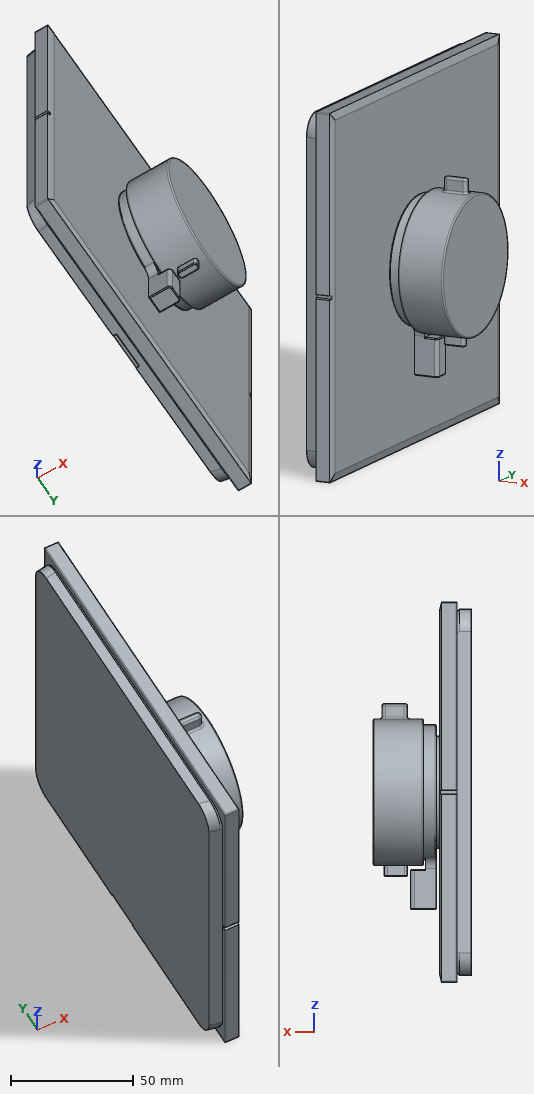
import cadquery as cq
import math

frame_size = 155.2
total_depth = 40.0

panel_height = 149.5
panel_front_width = 148.7
panel_back_width = 150.9
panel_depth = 5.7
panel_corner_radius = 9.0
undercut_depth = 1.0
undercut_height = 0.8
finger_notch_width = 17.4
finger_notch_depth = 1.5
finger_notch_height = 0.6

frame_back = 13.0
frame_edge_fillet = 0.5
bevel_depth = 1.0
bevel_inset = 3.4
side_notch_mouth = 1.9
side_notch_floor = 1.2
side_notch_depth = 1.4

spacer_radius = 23.0
mount_front = 14.3
mount_radius = 27.6
mount_fillet = 0.6
drum_front = 19.5
drum_radius = 30.0
drum_fillet = 0.6

connector_width = 8.4
connector_top = -31.5
connector_bottom = -48.0
connector_back = 24.8
connector_corner_radius = 1.5
connector_chamfer = 0.5
neck_back = 18.8
neck_fillet_radius = 4.7

key_front = 26.0
key_back = 36.5
key_width = 3.4
key_top = 36.2
key_corner_radius = 1.4
key_top_fillet = 1.0
key_base_fillet = 1.0

plug_front = 26.0
plug_back = 35.5
plug_width = 3.4
plug_bottom = -34.5
plug_corner_radius = 1.2
plug_chamfer = 0.5
plug_socket_depth = 2.3


def box(x_min, x_max, y_min, y_max, z_min, z_max):
    size = (x_max - x_min, y_max - y_min, z_max - z_min)
    return cq.Workplane("XY").box(*size, centered=False).translate((x_min, y_min, z_min))


def disc(x_min, x_max, radius):
    return cq.Workplane("YZ", origin=(x_min, 0, 0)).circle(radius).extrude(x_max - x_min)


def rounded_outline(width, height, radius):
    return cq.Sketch().rect(width, height).vertices().fillet(radius)


def loft_outlines(x_min, x_max, first_outline, last_outline):
    shifted = last_outline.moved(cq.Location(cq.Vector(0, 0, x_max - x_min)))
    return cq.Workplane("YZ", origin=(x_min, 0, 0)).placeSketch(first_outline, shifted).loft()


def make_panel():
    """Rounded panel whose Y sides flare toward the back, with a narrowing rim behind it."""
    rim_start = panel_depth - undercut_depth
    flare = (panel_back_width - panel_front_width) / panel_depth
    rim_width = panel_front_width + flare * rim_start
    rim_height = panel_height - 2 * undercut_height
    front = rounded_outline(panel_front_width, panel_height, panel_corner_radius)
    middle = rounded_outline(rim_width, panel_height, panel_corner_radius)
    back = rounded_outline(panel_back_width, rim_height, panel_corner_radius)
    body = loft_outlines(0, rim_start, front, middle)
    rim = loft_outlines(rim_start, panel_depth, middle, back)
    panel = body.union(rim)
    finger_notch = box(
        0, finger_notch_depth,
        -finger_notch_width / 2, finger_notch_width / 2,
        -panel_height / 2, -panel_height / 2 + finger_notch_height,
    )
    return panel.cut(finger_notch)


def make_frame():
    """Square frame plate with a bevelled back and a notch in each Y side."""
    half = frame_size / 2
    plate = box(panel_depth, frame_back, -half, half, -half, half)
    frame = (
        plate.faces(">X").chamfer(bevel_inset, bevel_depth)
        .edges("<X or |X").fillet(frame_edge_fillet)
    )
    floor = half - side_notch_depth
    for side in (1, -1):
        notch = (
            cq.Workplane("YZ", origin=(panel_depth, 0, 0))
            .moveTo(side * half, -side_notch_mouth / 2)
            .lineTo(side * floor, -side_notch_floor / 2)
            .lineTo(side * floor, side_notch_floor / 2)
            .lineTo(side * half, side_notch_mouth / 2)
            .close()
            .extrude(frame_back - panel_depth)
        )
        frame = frame.cut(notch)
    return frame


def make_spacer():
    return disc(frame_back, mount_front, spacer_radius)


def make_neck():
    """Web from the mounting ring to the connector, flared where it meets the ring."""
    half_width = connector_width / 2
    centre_distance = mount_radius + neck_fillet_radius
    centre_y = half_width + neck_fillet_radius
    centre_z = -math.sqrt(centre_distance**2 - centre_y**2)
    ring_y = centre_y * mount_radius / centre_distance
    ring_z = centre_z * mount_radius / centre_distance
    start_angle = math.atan2(ring_z - centre_z, ring_y - centre_y)
    middle_angle = (start_angle + math.pi) / 2
    arc_y = centre_y + neck_fillet_radius * math.cos(middle_angle)
    arc_z = centre_z + neck_fillet_radius * math.sin(middle_angle)
    return (
        cq.Workplane("YZ", origin=(mount_front, 0, 0))
        .moveTo(0, 0)
        .lineTo(ring_y, ring_z)
        .threePointArc((arc_y, arc_z), (half_width, centre_z))
        .lineTo(half_width, connector_top - connector_corner_radius)
        .lineTo(-half_width, connector_top - connector_corner_radius)
        .lineTo(-half_width, centre_z)
        .threePointArc((-arc_y, arc_z), (-ring_y, ring_z))
        .close()
        .extrude(neck_back - mount_front)
    )


def make_mount():
    """Mounting ring with the connector block on its lower side."""
    ring = disc(mount_front, drum_front, mount_radius).faces("<X").fillet(mount_fillet)
    half_width = connector_width / 2
    connector = (
        box(mount_front, connector_back, -half_width, half_width, connector_bottom, connector_top)
        .edges("|Z and >X").fillet(connector_corner_radius)
        .faces(">Z or <Z").chamfer(connector_chamfer)
    )
    return ring.union(make_neck()).union(connector)


def make_plug():
    """Rounded plug that sits in a socket in the underside of the drum."""
    length = plug_back - plug_front
    top = -drum_radius + plug_socket_depth
    return (
        cq.Workplane("XY", origin=((plug_front + plug_back) / 2, 0, plug_bottom))
        .rect(length, plug_width)
        .extrude(top - plug_bottom)
        .edges("|Z").fillet(plug_corner_radius)
        .faces("<Z").chamfer(plug_chamfer)
    )


def make_drum(plug):
    """Drum with a key blended into its top and a socket for the plug below."""
    drum = disc(drum_front, total_depth, drum_radius).faces("<X or >X").fillet(drum_fillet)
    key = (
        cq.Workplane("XY", origin=((key_front + key_back) / 2, 0, 0))
        .rect(key_back - key_front, key_width)
        .extrude(key_top)
        .edges("|Z").fillet(key_corner_radius)
        .faces(">Z").edges().fillet(key_top_fillet)
    )
    drum = drum.union(key)
    reach = key_width / 2 + key_base_fillet
    base_zone = cq.selectors.BoxSelector(
        (key_front - key_base_fillet, -reach, drum_radius - key_base_fillet),
        (key_back + key_base_fillet, reach, drum_radius + key_base_fillet),
        boundingbox=True,
    )
    return drum.edges(base_zone).fillet(key_base_fillet).cut(plug)


panel = make_panel()
frame = make_frame()
spacer = make_spacer()
mount = make_mount()
plug = make_plug()
drum = make_drum(plug)

result = cq.Compound.makeCompound(
    [panel.val(), frame.val(), spacer.val(), mount.val(), plug.val(), drum.val()]
)